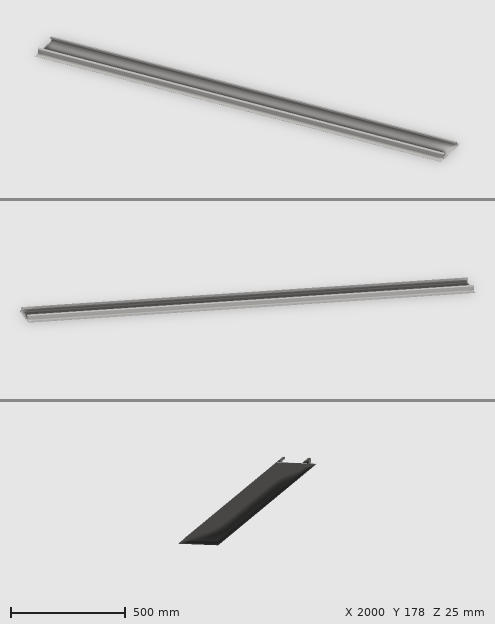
import cadquery as cq

length = 2000.0
width = 178.0
height = 25.0

sheet = 1.0
rails_width = 128.0
rail_width = 12.0
return_depth = 8.0
bend_radius = 5.0
foot_radius = 5.0

wall_outer_y = rails_width / 2
wall_inner_y = wall_outer_y - sheet
return_y = wall_outer_y - rail_width
bend_y = wall_outer_y - bend_radius
bend_z = height - bend_radius


def make_base():
    return cq.Workplane("XY").box(length, width, sheet, centered=(True, True, False))


def make_rail():
    """Hooked rail on the +Y side: a wall, a rounded bend, a flat top and a hanging return."""
    return (
        cq.Workplane("YZ", origin=(-length / 2, 0, 0))
        .moveTo(wall_outer_y, 0)
        .lineTo(wall_outer_y, bend_z)
        .radiusArc((bend_y, height), -bend_radius)
        .lineTo(return_y, height)
        .lineTo(return_y, height - return_depth)
        .lineTo(return_y + sheet, height - return_depth)
        .lineTo(return_y + sheet, height - sheet)
        .lineTo(bend_y, height - sheet)
        .radiusArc((wall_inner_y, bend_z), bend_radius - sheet)
        .lineTo(wall_inner_y, 0)
        .close()
        .extrude(length)
    )


def round_rail_feet(body):
    """Fillet both corners where each wall meets the base."""
    for side in (-1, 1):
        for face_y in (wall_inner_y, wall_outer_y):
            foot = cq.selectors.NearestToPointSelector((0, side * face_y, sheet))
            body = body.edges(foot).fillet(foot_radius)
    return body


rail = make_rail()
body = make_base().union(rail).union(rail.mirror("XZ"))

result = round_rail_feet(body)